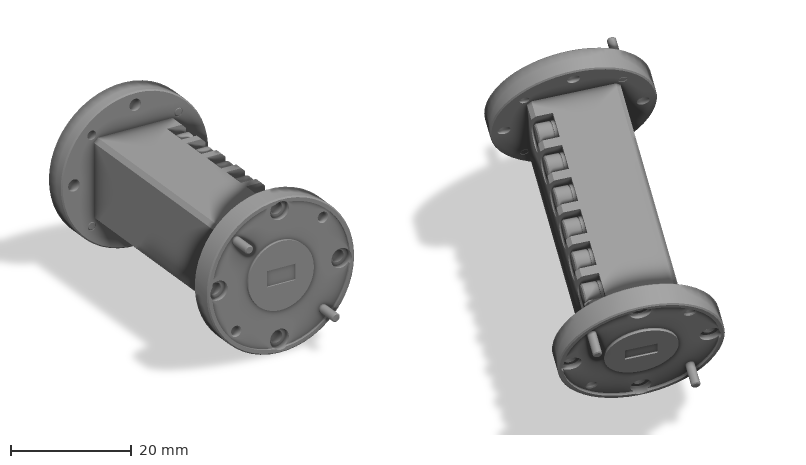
import cadquery as cq
import math

total_length = 58.55
pin_protrusion = 3.75
flange_thickness = 4.3
flange_outer_x = total_length / 2 - pin_protrusion
flange_inner_x = flange_outer_x - flange_thickness

bar_width = 16.0
bar_height = 15.3
bar_chamfer = 0.75

flange_diameter = 28.6
flange_chamfer = 0.25
rim_inner_diameter = 26.75
boss_diameter = 12.7
face_recess_depth = 0.5
bolt_circle_radius = 11.9
screw_hole_diameter = 2.2
counterbore_diameter = 3.65
counterbore_depth = 1.5
aperture_width = 5.55
aperture_height = 3.0
aperture_depth = 0.3

pin_diameter = 1.6
pin_chamfer = 0.2
mating_hole_diameter = 1.7
mating_hole_chamfer = 0.2
pin_length = pin_protrusion + flange_thickness
pin_offset = bolt_circle_radius / math.sqrt(2)

screw_count = 6
screw_span = 31.75
screw_pitch = screw_span / (screw_count - 1)
slot_width = 4.75
slot_depth = 3.7
screw_axis_z = 4.7
screw_radius = slot_width / 2
screw_end_gap = 0.35
screw_collar_length = 0.5
screw_chamfer = 0.25


def cylinder_x(diameter, x_start, length, y=0, z=0):
    """Cylinder along +X that starts at x_start."""
    return (
        cq.Workplane("YZ", origin=(x_start, y, z))
        .circle(diameter / 2)
        .extrude(length)
    )


def make_mating_hole(face_x, y, z):
    """Hole for the pin of a mating flange, with a countersunk mouth at face_x."""
    hole = cylinder_x(mating_hole_diameter, flange_inner_x, face_x - flange_inner_x, y, z)
    countersink = (
        cq.Workplane("YZ", origin=(face_x, y, z))
        .circle(mating_hole_diameter / 2 + mating_hole_chamfer)
        .extrude(-mating_hole_chamfer, taper=45)
    )
    return hole.union(countersink)


def make_flange():
    """The +X flange, with its mating face toward +X."""
    flange = cylinder_x(flange_diameter, flange_inner_x, flange_thickness)
    flange = flange.edges().chamfer(flange_chamfer)

    recess_x = flange_outer_x - face_recess_depth
    recess = (
        cq.Workplane("YZ", origin=(recess_x, 0, 0))
        .circle(rim_inner_diameter / 2)
        .circle(boss_diameter / 2)
        .extrude(face_recess_depth)
    )
    aperture = (
        cq.Workplane("YZ", origin=(flange_outer_x - aperture_depth, 0, 0))
        .rect(aperture_width, aperture_height)
        .extrude(aperture_depth)
    )
    flange = flange.cut(recess).cut(aperture)

    for side in (-1, 1):
        for y, z in ((side * bolt_circle_radius, 0), (0, side * bolt_circle_radius)):
            hole = cylinder_x(screw_hole_diameter, flange_inner_x, flange_thickness, y, z)
            counterbore_x = flange_outer_x - counterbore_depth
            counterbore = cylinder_x(counterbore_diameter, counterbore_x, counterbore_depth, y, z)
            flange = flange.cut(hole).cut(counterbore)

    for y in (-pin_offset, pin_offset):
        pin_hole = cylinder_x(pin_diameter, flange_inner_x, flange_thickness, y, -y)
        flange = flange.cut(pin_hole).cut(make_mating_hole(recess_x, y, y))
    return flange


def make_tuning_screw():
    """Screw with a chamfered head, on the axis of a slot at X = 0."""
    end_radius = screw_radius - screw_chamfer
    slot_end_y = bar_width / 2 - slot_depth
    head_start_y = slot_end_y + screw_collar_length
    head_end_y = bar_width / 2 - screw_end_gap
    return (
        cq.Workplane("XY", origin=(0, 0, screw_axis_z))
        .moveTo(0, slot_end_y)
        .lineTo(screw_radius, slot_end_y)
        .lineTo(screw_radius, head_start_y)
        .lineTo(end_radius, head_start_y)
        .lineTo(screw_radius, head_start_y + screw_chamfer)
        .lineTo(screw_radius, head_end_y - screw_chamfer)
        .lineTo(end_radius, head_end_y)
        .lineTo(0, head_end_y)
        .close()
        .revolve(360, (0, 0, 0), (0, 1, 0))
    )


def make_slot_clearance():
    """Round-bottomed slot at X = 0, less the screw that stays in it."""
    slot_top_z = bar_height / 2
    slot = (
        cq.Workplane("XZ", origin=(0, bar_width / 2, screw_axis_z))
        .moveTo(-screw_radius, 0)
        .threePointArc((0, -screw_radius), (screw_radius, 0))
        .lineTo(screw_radius, slot_top_z - screw_axis_z)
        .lineTo(-screw_radius, slot_top_z - screw_axis_z)
        .close()
        .extrude(slot_depth)
    )
    return slot.cut(make_tuning_screw())


def make_bar():
    bar = cq.Workplane("XY").box(2 * flange_inner_x, bar_width, bar_height)
    bar = bar.edges("|X").chamfer(bar_chamfer)
    clearance = make_slot_clearance()
    for index in range(screw_count):
        x = (index - (screw_count - 1) / 2) * screw_pitch
        bar = bar.cut(clearance.translate((x, 0, 0)))
    return bar


def make_housing():
    flange = make_flange()
    return make_bar().union(flange).union(flange.rotate((0, 0, 0), (0, 0, 1), 180))


def make_pin(x_start, y, z):
    """Pin along X with both ends chamfered."""
    pin = cylinder_x(pin_diameter, x_start, pin_length, y, z)
    return pin.edges("%CIRCLE").chamfer(pin_chamfer)


housing = make_housing()

pins = []
for side in (-1, 1):
    pin_start_x = -total_length / 2 if side < 0 else flange_inner_x
    for z in (-pin_offset, pin_offset):
        pins.append(make_pin(pin_start_x, -side * z, z))

result = cq.Compound.makeCompound([housing.val()] + [pin.val() for pin in pins])